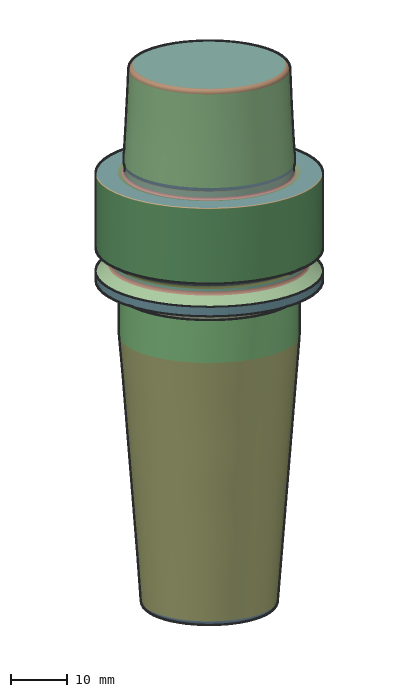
import cadquery as cq
import math


SHANK_TOP_Z = 19.9
SHANK_BOTTOM_Z = 2.1
GAUGE_RADIUS = 15.0
GAUGE_Z = 4.0
TAPER_SLOPE = 0.05
SHANK_TOP_FILLET = 0.8

NECK_RADIUS = 14.9
NECK_TOP_Z = 1.35
NECK_TOP_FILLET = 0.6

DISH_RADIUS = 16.05
DISH_DEPTH = 0.2
DISH_FILLET = 0.4

FLANGE_RADIUS = 20.0
FLANGE_FILLET = 0.15
FLANGE_BOTTOM_Z = -20.0
GROOVE_CENTRE_Z = -16.05
GROOVE_FLOOR_RADIUS = 17.4
GROOVE_RIM_WIDTH = 4.3
GROOVE_WALL_ANGLE = 30.0
GROOVE_FILLET = 0.75

COLLAR_RADIUS = 16.0
COLLAR_BOTTOM_Z = -22.0
COLLAR_FILLET = 0.9

BODY_RADIUS = 15.9
CONE_TOP_Z = -30.0
NOSE_RADIUS = 12.0
NOSE_BOTTOM_Z = -80.0
NOSE_FILLET = 1.0

TOLERANCE = 1e-4


def shank_radius(z):
    """Radius of the tapered shank at height z."""
    return GAUGE_RADIUS - TAPER_SLOPE * (z - GAUGE_Z)


groove_rim_half = GROOVE_RIM_WIDTH / 2
groove_wall_rise = (FLANGE_RADIUS - GROOVE_FLOOR_RADIUS) * math.tan(math.radians(GROOVE_WALL_ANGLE))
groove_floor_half = groove_rim_half - groove_wall_rise

shank_top = (shank_radius(SHANK_TOP_Z), SHANK_TOP_Z)
neck_top = (NECK_RADIUS, NECK_TOP_Z)
dish_bottom = (NECK_RADIUS, -DISH_DEPTH)
flange_top = (FLANGE_RADIUS, 0)
flange_bottom = (FLANGE_RADIUS, FLANGE_BOTTOM_Z)
groove_floor_top = (GROOVE_FLOOR_RADIUS, GROOVE_CENTRE_Z + groove_floor_half)
groove_floor_bottom = (GROOVE_FLOOR_RADIUS, GROOVE_CENTRE_Z - groove_floor_half)
collar_top = (COLLAR_RADIUS, FLANGE_BOTTOM_Z)
nose = (NOSE_RADIUS, NOSE_BOTTOM_Z)


def turn_blank():
    """Half outline from the top centre down to the bottom centre, revolved about Z."""
    outline = [
        (0, SHANK_TOP_Z),
        shank_top,
        (shank_radius(SHANK_BOTTOM_Z), SHANK_BOTTOM_Z),
        neck_top,
        dish_bottom,
        (DISH_RADIUS, 0),
        flange_top,
        (FLANGE_RADIUS, GROOVE_CENTRE_Z + groove_rim_half),
        groove_floor_top,
        groove_floor_bottom,
        (FLANGE_RADIUS, GROOVE_CENTRE_Z - groove_rim_half),
        flange_bottom,
        collar_top,
        (COLLAR_RADIUS, COLLAR_BOTTOM_Z),
        (BODY_RADIUS, COLLAR_BOTTOM_Z),
        (BODY_RADIUS, CONE_TOP_Z),
        nose,
        (0, NOSE_BOTTOM_Z),
    ]
    return cq.Workplane("XZ").polyline(outline).close().revolve(360, (0, 0, 0), (0, 1, 0))


def round_corner(solid, corner, fillet_radius):
    """Fillet the circular edge that passes through the given (radius, z) corner."""
    radius, z = corner

    def is_corner(edge):
        if edge.geomType() != "CIRCLE":
            return False
        return abs(edge.radius() - radius) < TOLERANCE and abs(edge.Center().z - z) < TOLERANCE

    return solid.edges().filter(is_corner).fillet(fillet_radius)


result = turn_blank()
for corner, fillet_radius in (
    (shank_top, SHANK_TOP_FILLET),
    (neck_top, NECK_TOP_FILLET),
    (dish_bottom, DISH_FILLET),
    (groove_floor_top, GROOVE_FILLET),
    (groove_floor_bottom, GROOVE_FILLET),
    (flange_top, FLANGE_FILLET),
    (flange_bottom, FLANGE_FILLET),
    (collar_top, COLLAR_FILLET),
    (nose, NOSE_FILLET),
):
    result = round_corner(result, corner, fillet_radius)